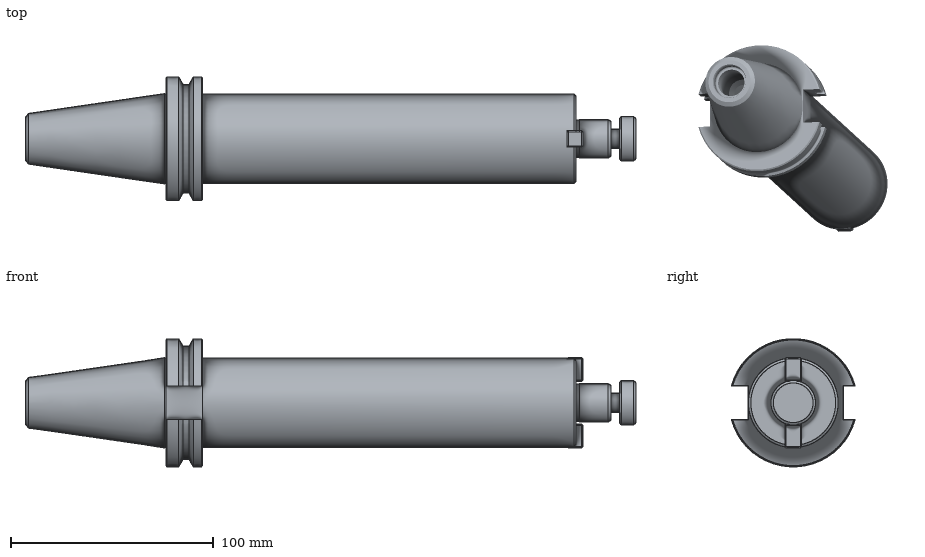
import cadquery as cq

overall_length = 301.2

shank_diameter = 44.5
taper_length = 68.7
taper_rate = 7 / 24
taper_end_radius = shank_diameter / 2 - taper_rate * taper_length / 2
tip_chamfer_length = 1.5
tip_face_radius = 10.5

flange_diameter = 63.3
flange_start = 69.3
flange_end = 87.5
flange_chamfer = 0.5
groove_center = 79.2
groove_top_width = 7.2
groove_bottom_width = 3.0
groove_depth = 3.5

notch_width = 16.5
notch_floor_plus_y = 24.7
notch_floor_minus_y = 22.3

body_diameter = 44.3
body_end = 271.7
body_chamfer = 1.2
pilot_end = 289.0
pilot_diameter = 19.0
pilot_chamfer_length = 1.5
pilot_chamfer_depth = 1.0
relief_diameter = 18.7
relief_length = 1.5

mouth_diameter = 17.0
mouth_length = 1.0
counterbore_diameter = 16.3
counterbore_length = 4.2
thread_diameter = 13.3
thread_end = 30.0
hole_floor_diameter = 8.5
hole_end = 31.5

key_sides = (1, -1)
key_start = 267.2
key_length = 7.8
key_width = 8.0
key_inner_height = 10.5
key_outer_height = 22.3
key_chamfer = 0.5

screw_diameter = 9.5
screw_start = 271.0
head_diameter = 22.0
head_start = 293.0
head_back_chamfer = 1.0
head_front_chamfer = 1.2


def revolve_about_x(profile):
    """Solid of revolution about X from (x, radius) points; the profile closes along the axis."""
    axis_closed = [(profile[0][0], 0)] + profile + [(profile[-1][0], 0)]
    return cq.Workplane("XY").polyline(axis_closed).close().revolve(360, (0, 0, 0), (1, 0, 0))


def make_holder_blank():
    """Taper, flange, body and pilot turned in one piece, before notches and holes."""
    shank_radius = shank_diameter / 2
    body_radius = body_diameter / 2
    flange_radius = flange_diameter / 2
    groove_radius = flange_radius - groove_depth
    pilot_radius = pilot_diameter / 2
    return revolve_about_x([
        (0, tip_face_radius),
        (tip_chamfer_length, taper_end_radius + taper_rate * tip_chamfer_length / 2),
        (taper_length, shank_radius),
        (taper_length, body_radius),
        (flange_start, body_radius),
        (flange_start, flange_radius - flange_chamfer),
        (flange_start + flange_chamfer, flange_radius),
        (groove_center - groove_top_width / 2, flange_radius),
        (groove_center - groove_bottom_width / 2, groove_radius),
        (groove_center + groove_bottom_width / 2, groove_radius),
        (groove_center + groove_top_width / 2, flange_radius),
        (flange_end - flange_chamfer, flange_radius),
        (flange_end, flange_radius - flange_chamfer),
        (flange_end, body_radius),
        (body_end - body_chamfer, body_radius),
        (body_end, body_radius - body_chamfer),
        (body_end, relief_diameter / 2),
        (body_end + relief_length, relief_diameter / 2),
        (body_end + relief_length, pilot_radius),
        (pilot_end - pilot_chamfer_length, pilot_radius),
        (pilot_end, pilot_radius - pilot_chamfer_depth),
    ])


def make_notch(side, floor):
    """Cutter for one flange notch; side is +1 for the +Y notch and -1 for the -Y notch."""
    flange_width = flange_end - flange_start
    return (
        cq.Workplane("XY")
        .box(flange_width, flange_diameter, notch_width)
        .translate(((flange_start + flange_end) / 2, side * (floor + flange_diameter / 2), 0))
    )


def make_drawbar_hole():
    """Cutter for the stepped blind hole with a flat-tipped conical floor."""
    return revolve_about_x([
        (0, mouth_diameter / 2),
        (mouth_length, counterbore_diameter / 2),
        (counterbore_length, counterbore_diameter / 2),
        (counterbore_length, thread_diameter / 2),
        (thread_end, thread_diameter / 2),
        (hole_end, hole_floor_diameter / 2),
    ])


def make_key_block(side):
    """Square-edged key envelope; side is +1 for the upper key and -1 for the lower key."""
    return (
        cq.Workplane("XY")
        .box(key_length, key_width, key_outer_height - key_inner_height)
        .translate((key_start + key_length / 2, 0, side * (key_inner_height + key_outer_height) / 2))
    )


def make_key(side):
    """One drive key with every edge chamfered."""
    return make_key_block(side).edges().chamfer(key_chamfer)


def make_screw():
    """Clamping screw: plain shank seated in the pilot and a chamfered round head."""
    screw_radius = screw_diameter / 2
    head_radius = head_diameter / 2
    return revolve_about_x([
        (screw_start, screw_radius),
        (head_start, screw_radius),
        (head_start, head_radius - head_back_chamfer),
        (head_start + head_back_chamfer, head_radius),
        (overall_length - head_front_chamfer, head_radius),
        (overall_length, head_radius - head_front_chamfer),
    ])


def make_holder():
    holder = make_holder_blank()
    holder = holder.cut(make_notch(1, notch_floor_plus_y))
    holder = holder.cut(make_notch(-1, notch_floor_minus_y))
    holder = holder.cut(make_drawbar_hole())
    for side in key_sides:
        holder = holder.cut(make_key_block(side))
    return holder.cut(make_screw())


holder = make_holder()
keys = [make_key(side) for side in key_sides]
screw = make_screw()

result = cq.Compound.makeCompound([holder.val(), *[key.val() for key in keys], screw.val()])